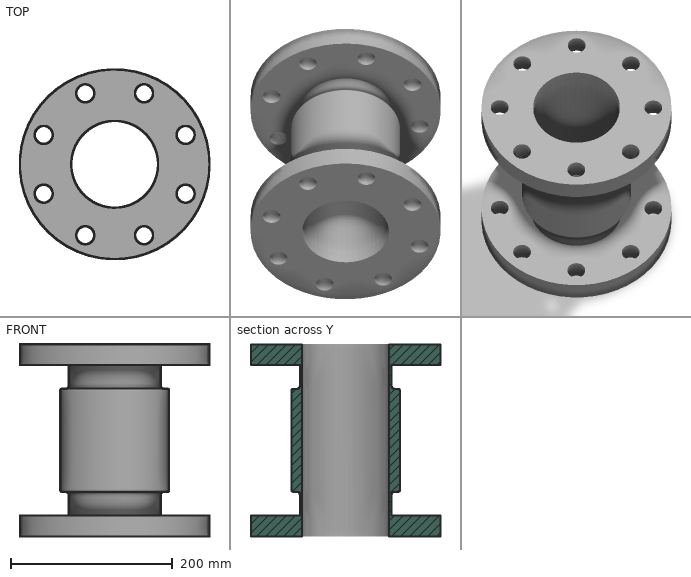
import cadquery as cq

total_length = 238.0
flange_diameter = 235.0
flange_thickness = 26.0
pipe_diameter = 114.3
bore_diameter = 107.1
sleeve_diameter = 134.9
sleeve_length = 128.0
sleeve_fillet = 3.0

bolt_count = 8
bolt_circle_diameter = 190.0
bolt_hole_diameter = 22.0

sleeve_bottom = (total_length - sleeve_length) / 2
half_bolt_pitch = 360 / bolt_count / 2


def cylinder(diameter, length, bottom):
    """Solid cylinder on the Z axis, starting at height bottom."""
    return cq.Workplane("XY").workplane(offset=bottom).circle(diameter / 2).extrude(length)


def circle_edges(solid, diameter, height):
    """Circular edges of the given diameter at the given height."""
    tolerance = 0.01
    return [
        edge
        for edge in solid.edges("%CIRCLE").vals()
        if abs(edge.radius() - diameter / 2) < tolerance and abs(edge.Center().z - height) < tolerance
    ]


def make_sleeved_pipe():
    """Pipe with a thicker middle sleeve, rounded at both of its shoulders."""
    body = cylinder(pipe_diameter, total_length, 0)
    body = body.union(cylinder(sleeve_diameter, sleeve_length, sleeve_bottom))
    for shoulder_height in (sleeve_bottom, sleeve_bottom + sleeve_length):
        for edge_diameter in (sleeve_diameter, pipe_diameter):
            shoulder_edges = circle_edges(body, edge_diameter, shoulder_height)
            body = body.newObject(shoulder_edges).fillet(sleeve_fillet)
    return body


def make_flange(bottom):
    """Round flange with a ring of through bolt holes."""
    bolt_holes = (
        cq.Workplane("XY")
        .workplane(offset=bottom)
        .polarArray(bolt_circle_diameter / 2, half_bolt_pitch, 360, bolt_count)
        .circle(bolt_hole_diameter / 2)
        .extrude(flange_thickness)
    )
    return cylinder(flange_diameter, flange_thickness, bottom).cut(bolt_holes)


part = make_sleeved_pipe()
for flange_bottom in (0, total_length - flange_thickness):
    part = part.union(make_flange(flange_bottom))

bore = cylinder(bore_diameter, total_length, 0)
result = part.cut(bore)